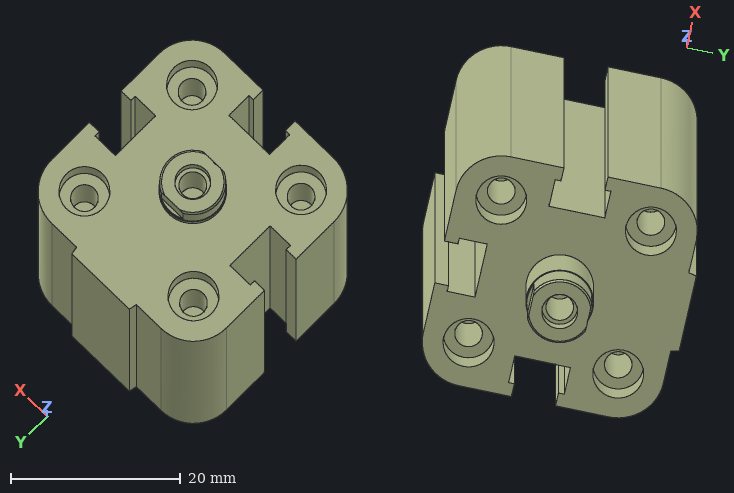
import cadquery as cq

TOTAL_HEIGHT = 57.0
ROD_ABOVE = 4.5
ROD_BELOW = 9.6
HOUSING_HEIGHT = TOTAL_HEIGHT - ROD_ABOVE - ROD_BELOW

HOUSING_WIDTH = 29.0
HALF_WIDTH = HOUSING_WIDTH / 2
CORNER_RADIUS = 5.5
TONGUE_HEIGHT = 0.95
TONGUE_BASE_WIDTH = 9.9
TONGUE_TIP_WIDTH = 9.5

SLOT_MOUTH_WIDTH = 5.3
SLOT_INNER_WIDTH = 6.7
SLOT_LIP = 1.65
SLOT_DEPTH = 5.0

HOLE_OFFSET = HALF_WIDTH - CORNER_RADIUS
HOLE_DIAMETER = 3.25
HOLE_DEPTH = 12.5
COUNTERBORE_DIAMETER = 6.0
COUNTERBORE_DEPTH = 3.55

ROD_DIAMETER = 8.0
TIP_DIAMETER = 7.8
TIP_LENGTH = 3.6
TIP_CHAMFER = 0.2
FLAT_DISTANCE = 6.95
FLAT_LENGTH = 3.0
ROD_BORE_DIAMETER = 3.25
ROD_BORE_DEPTH = 10.0
ROD_RECESS_DIAMETER = 4.2
ROD_RECESS_DEPTH = 1.7


def stepped_hole(recess_diameter, recess_depth, bore_diameter, bore_depth):
    """Blind hole with a wider recess, going down from Z = 0."""
    recess = cq.Workplane("XY").circle(recess_diameter / 2).extrude(-recess_depth)
    bore = cq.Workplane("XY").circle(bore_diameter / 2).extrude(-bore_depth)
    return recess.union(bore)


def make_tongue():
    """Low tapered rib along the +Y side; it starts inside the body."""
    base_y = HALF_WIDTH
    tip_y = HALF_WIDTH + TONGUE_HEIGHT
    root_y = HALF_WIDTH - TONGUE_HEIGHT
    outline = [
        (-TONGUE_BASE_WIDTH / 2, root_y),
        (-TONGUE_BASE_WIDTH / 2, base_y),
        (-TONGUE_TIP_WIDTH / 2, tip_y),
        (TONGUE_TIP_WIDTH / 2, tip_y),
        (TONGUE_BASE_WIDTH / 2, base_y),
        (TONGUE_BASE_WIDTH / 2, root_y),
    ]
    return cq.Workplane("XY").polyline(outline).close().extrude(HOUSING_HEIGHT)


def make_slot():
    """Space of one T-slot, opening to the -Y side."""
    outer_y = -HALF_WIDTH
    lip_y = outer_y + SLOT_LIP
    floor_y = outer_y + SLOT_DEPTH
    outline = [
        (-SLOT_MOUTH_WIDTH / 2, outer_y),
        (-SLOT_MOUTH_WIDTH / 2, lip_y),
        (-SLOT_INNER_WIDTH / 2, lip_y),
        (-SLOT_INNER_WIDTH / 2, floor_y),
        (SLOT_INNER_WIDTH / 2, floor_y),
        (SLOT_INNER_WIDTH / 2, lip_y),
        (SLOT_MOUTH_WIDTH / 2, lip_y),
        (SLOT_MOUTH_WIDTH / 2, outer_y),
    ]
    return cq.Workplane("XY").polyline(outline).close().extrude(HOUSING_HEIGHT)


def make_housing():
    """Rounded square block with a tongue, three T-slots, mounting holes and the rod hole."""
    body = (
        cq.Workplane("XY")
        .rect(HOUSING_WIDTH, HOUSING_WIDTH)
        .extrude(HOUSING_HEIGHT)
        .edges("|Z")
        .fillet(CORNER_RADIUS)
        .union(make_tongue())
    )

    for angle in (-90, 0, 90):
        body = body.cut(make_slot().rotate((0, 0, 0), (0, 0, 1), angle))

    hole = stepped_hole(COUNTERBORE_DIAMETER, COUNTERBORE_DEPTH, HOLE_DIAMETER, HOLE_DEPTH)
    upper_hole = hole.translate((0, 0, HOUSING_HEIGHT))
    lower_hole = hole.mirror("XY")
    for x in (-HOLE_OFFSET, HOLE_OFFSET):
        for y in (-HOLE_OFFSET, HOLE_OFFSET):
            body = body.cut(lower_hole.translate((x, y, 0)))
            body = body.cut(upper_hole.translate((x, y, 0)))

    rod_hole = cq.Workplane("XY").circle(ROD_DIAMETER / 2).extrude(HOUSING_HEIGHT)
    return body.cut(rod_hole)


def make_rod_tip():
    """Chamfered rod end with wrench flats on -Y and +Y; its end face is at Z = 0."""
    tip = (
        cq.Workplane("XY")
        .circle(TIP_DIAMETER / 2)
        .extrude(-TIP_LENGTH)
        .faces(">Z")
        .chamfer(TIP_CHAMFER)
    )
    for side in (-1, 1):
        beside_flat = (
            cq.Workplane("XY")
            .center(0, side * (FLAT_DISTANCE + TIP_DIAMETER) / 2)
            .rect(TIP_DIAMETER, TIP_DIAMETER)
            .extrude(-FLAT_LENGTH)
        )
        tip = tip.cut(beside_flat)
    return tip


def make_rod():
    """Straight shank with the same tip and stepped bore at both ends."""
    bottom_z = -ROD_BELOW
    top_z = HOUSING_HEIGHT + ROD_ABOVE
    shank = (
        cq.Workplane("XY")
        .workplane(offset=bottom_z + TIP_LENGTH)
        .circle(ROD_DIAMETER / 2)
        .extrude(TOTAL_HEIGHT - 2 * TIP_LENGTH)
    )
    tip = make_rod_tip()
    bore = stepped_hole(ROD_RECESS_DIAMETER, ROD_RECESS_DEPTH, ROD_BORE_DIAMETER, ROD_BORE_DEPTH)

    body = shank.union(tip.translate((0, 0, top_z)))
    body = body.union(tip.mirror("XY").translate((0, 0, bottom_z)))
    body = body.cut(bore.translate((0, 0, top_z)))
    return body.cut(bore.mirror("XY").translate((0, 0, bottom_z)))


housing = make_housing()
rod = make_rod()

result = cq.Compound.makeCompound([housing.val(), rod.val()])